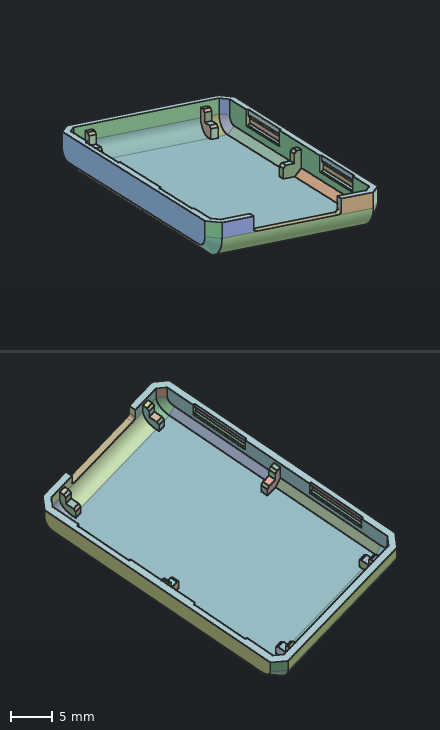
import cadquery as cq
import math

length = 38.0
width = 24.0
height = 5.0
wall = 1.0
end_radius = 3.0
edge_chamfer = 1.52

recess_length = 8.0
recess_center_x = 9.0
recess_depth = 0.247
recess_bottom = 2.93
groove_depth = 2 * recess_depth
groove_low = recess_bottom + recess_depth
groove_high = 3.85
groove_mouth_high = 4.35

clip_width = 1.0
clip_root = wall / 2
clip_post_reach = 1.98
clip_ledge_reach = 3.5
clip_post_top = 4.3
clip_ledge_top = 2.7
clip_bevel = 0.35
side_clip_y = 8.0

notch_width = 12.15
notch_depth = 2.0
notch_radius = 0.5


def bevelled_block(size_x, size_y, bottom, radius, chamfer):
    """Block up to the rim with round X ends below and bevelled front and back outlines."""
    block = (
        cq.Workplane("XY", origin=(0, 0, bottom))
        .box(size_x, size_y, height - bottom, centered=(True, True, False))
        .edges("|Y and <Z")
        .fillet(radius)
    )
    for face in ("<Y", ">Y"):
        block = block.faces(face).edges("not >Z").chamfer(chamfer)
    return block


def extruded_profile(points, thickness):
    """Extrude a (distance inward, Z) outline along X, centred, outer wall face at Y = 0."""
    return cq.Workplane("YZ").polyline(points).close().extrude(thickness / 2, both=True)


def on_back_wall(body, x):
    """Put a wall feature against the +Y wall."""
    return body.rotate((0, 0, 0), (0, 0, 1), 180).translate((x, width / 2, 0))


def on_front_wall(body, x):
    """Put a wall feature against the -Y wall."""
    return body.translate((x, -width / 2, 0))


def make_clip():
    outline = [
        (clip_root, clip_root),
        (clip_root, clip_post_top),
        (clip_post_reach - clip_bevel, clip_post_top),
        (clip_post_reach, clip_post_top - clip_bevel),
        (clip_post_reach, clip_ledge_top),
        (clip_ledge_reach - clip_bevel, clip_ledge_top),
        (clip_ledge_reach, clip_ledge_top - clip_bevel),
        (clip_ledge_reach, clip_root),
    ]
    return extruded_profile(outline, clip_width)


def make_snap_recess():
    outline = [
        (wall, height),
        (wall - recess_depth, height),
        (wall - recess_depth, groove_mouth_high),
        (wall - groove_depth, groove_high),
        (wall - groove_depth, groove_low),
        (wall - recess_depth, recess_bottom),
        (wall, recess_bottom),
    ]
    return extruded_profile(outline, recess_length)


def make_notch():
    return (
        cq.Workplane("XY", origin=(length / 2, 0, height - notch_depth))
        .box(2 * wall, notch_width, notch_depth, centered=(True, True, False))
        .edges("|X and <Z")
        .fillet(notch_radius)
    )


outer = bevelled_block(length, width, 0, end_radius, edge_chamfer)

cavity_chamfer = edge_chamfer - wall * (2 - math.sqrt(2))
cavity = bevelled_block(length - 2 * wall, width - 2 * wall, wall, end_radius - wall, cavity_chamfer)
tray = outer.cut(cavity)

clip = make_clip()
clips = on_back_wall(clip, 0).union(on_front_wall(clip, 0))
for y in (-side_clip_y, side_clip_y):
    for angle, x in ((-90, -length / 2), (90, length / 2)):
        clips = clips.union(clip.rotate((0, 0, 0), (0, 0, 1), angle).translate((x, y, 0)))

tray = tray.union(clips.intersect(outer))

recess = make_snap_recess()
for x in (-recess_center_x, recess_center_x):
    tray = tray.cut(on_back_wall(recess, x)).cut(on_front_wall(recess, x))

result = tray.cut(make_notch())